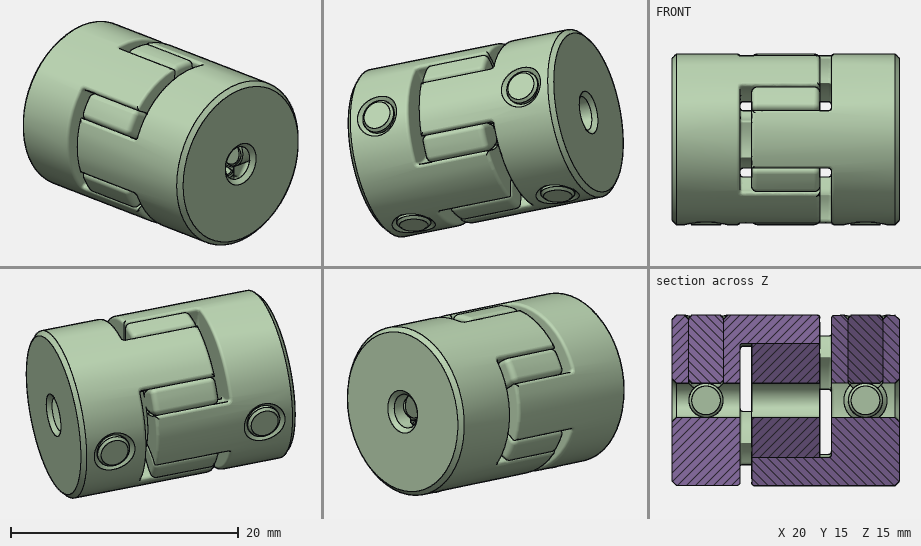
import cadquery as cq
import math


coupling_length = 20.0
coupling_radius = 7.5
hub_body_length = 6.0
jaw_length = 7.0
jaw_count = 3
jaw_pitch = 360.0 / jaw_count
jaw_inner_radius = 5.0
rim_chamfer = 0.4
bore_radius = 1.5
bore_chamfer = 0.4
jaw_outer_fillet = 0.28
jaw_root_fillet = 0.25
jaw_corner_fillet = 0.2
jaw_corner_easing = 0.02

leg_count = 2 * jaw_count
leg_pitch = 360.0 / leg_count
leg_width = 2.5
leg_half_width = leg_width / 2
leg_side_radius = 4.0
leg_widest_reach = 6.4
leg_inner_reach = 4.7
leg_fillet = 0.5

screw_radius = 1.5
screw_chamfer = 0.25
screw_hole_chamfer = 0.4
screw_angles = (0.0, -90.0)

half_length = coupling_length / 2
hub_face = half_length - hub_body_length
jaw_tip = jaw_length - hub_face
screw_position = half_length - hub_body_length / 2
cut_reach = 1.2 * coupling_radius
tolerance = 0.002


def disc(radius, x_start, x_end):
    """Solid cylinder on the X axis."""
    return cq.Workplane("YZ").workplane(offset=x_start).circle(radius).extrude(x_end - x_start)


def turned(body, angle):
    """Copy of a body turned about the X axis."""
    return body.rotate((0, 0, 0), (1, 0, 0), angle)


def distance_from_axis(point):
    return math.hypot(point.y, point.z)


def edges_where(body, test):
    """Select the edges of a body that pass a test."""
    return body.newObject([edge for edge in body.edges().vals() if test(edge)])


def leg_bar(x_start, x_end):
    """Bar along +Y with barrel-shaped sides, running out past the outer surface."""

    def half_width(reach):
        side_drop = leg_side_radius - math.sqrt(leg_side_radius**2 - (reach - leg_widest_reach) ** 2)
        return leg_half_width - side_drop

    inner_width = half_width(leg_inner_reach)
    outer_width = half_width(cut_reach)
    return (
        cq.Workplane("YZ")
        .workplane(offset=x_start)
        .moveTo(leg_inner_reach, -inner_width)
        .threePointArc((leg_widest_reach, -leg_half_width), (cut_reach, -outer_width))
        .lineTo(cut_reach, outer_width)
        .threePointArc((leg_widest_reach, leg_half_width), (leg_inner_reach, inner_width))
        .close()
        .extrude(x_end - x_start)
    )


def jaw_window(x_start, x_end):
    """Cutter for the gap centred on +Y between two jaws: a wedge with a leg seat along each side."""
    half_height = cut_reach * math.tan(math.radians(leg_pitch / 2))
    wedge = (
        cq.Workplane("YZ")
        .workplane(offset=x_start)
        .polyline([(0, 0), (cut_reach, -half_height), (cut_reach, half_height)])
        .close()
        .extrude(x_end - x_start)
    )
    seat = leg_bar(x_start, x_end)
    return wedge.union(turned(seat, leg_pitch / 2)).union(turned(seat, -leg_pitch / 2))


def is_jaw_corner(edge):
    """Straight corner between the inner wall and a side of a jaw."""
    on_inner_wall = abs(distance_from_axis(edge.Center()) - jaw_inner_radius) < tolerance
    return on_inner_wall and edge.geomType() == "LINE"


def is_upper_corner_of_first_jaw(edge):
    centre = edge.Center()
    return is_jaw_corner(edge) and centre.y > abs(centre.z) and centre.z > 0


def is_plain_jaw_corner(edge):
    return is_jaw_corner(edge) and not is_upper_corner_of_first_jaw(edge)


def is_on_outer_surface(edge):
    return all(
        abs(distance_from_axis(edge.positionAt(t)) - coupling_radius) < tolerance for t in (0, 0.3, 0.7, 1)
    )


def is_jaw_root(edge):
    """Edge where a jaw rises from the flat face of the hub body."""
    box = edge.BoundingBox()
    on_face = abs(box.xmin + hub_face) < tolerance and abs(box.xmax + hub_face) < tolerance
    return on_face and not is_on_outer_surface(edge)


def is_jaw_outline(edge):
    """Edge where the windows and jaw tips break the outer surface; the cylinder seam is left out."""
    is_seam = edge.geomType() == "LINE" and abs(edge.Center().z) < tolerance
    clear_of_rim = edge.Center().x > -half_length + 2 * rim_chamfer
    return is_on_outer_surface(edge) and clear_of_rim and not is_seam


def jawed_blank(round_first_corner):
    """Left hub without holes; its first jaw points along +Y."""
    blank = disc(coupling_radius, -half_length, jaw_tip).faces("<X").chamfer(rim_chamfer)
    blank = blank.cut(disc(jaw_inner_radius, -hub_face, jaw_tip))
    for number in range(jaw_count):
        blank = blank.cut(turned(jaw_window(-hub_face, jaw_tip), (number + 0.5) * jaw_pitch))
    first_corner_fillet = jaw_corner_fillet if round_first_corner else jaw_corner_easing
    blank = edges_where(blank, is_upper_corner_of_first_jaw).fillet(first_corner_fillet)
    blank = edges_where(blank, is_plain_jaw_corner).fillet(jaw_corner_easing)
    blank = edges_where(blank, is_jaw_root).fillet(jaw_root_fillet)
    return edges_where(blank, is_jaw_outline).fillet(jaw_outer_fillet)


def cut_bore(hub):
    """Bore through the hub body, chamfered at the outer end."""
    bore = disc(bore_radius, -half_length, 0)
    mouth = cq.Workplane(
        cq.Solid.makeCone(
            bore_radius + bore_chamfer, bore_radius, bore_chamfer, cq.Vector(-half_length, 0, 0), cq.Vector(1, 0, 0)
        )
    )
    return hub.cut(bore).cut(mouth)


def cut_screw_holes(hub, x):
    """Radial holes from the bore to the outer surface, chamfered at the outside."""
    hole = cq.Workplane("XZ").center(x, 0).circle(screw_radius).extrude(-cut_reach)
    for angle in screw_angles:
        hub = hub.cut(turned(hole, angle))

    def is_hole_mouth(edge):
        box = edge.BoundingBox()
        return is_on_outer_surface(edge) and abs(box.center.x - x) < screw_radius and box.xlen < 3 * screw_radius

    return edges_where(hub, is_hole_mouth).chamfer(screw_hole_chamfer)


def make_left_hub():
    return cut_screw_holes(cut_bore(jawed_blank(True)), -screw_position)


def make_right_hub():
    hub = cut_bore(jawed_blank(False)).rotate((0, 0, 0), (0, 0, 1), 180)
    return cut_screw_holes(hub, screw_position)


def make_spider():
    """Disc inside the jaws with a rounded leg between each pair of neighbouring jaws."""
    leg = leg_bar(-jaw_tip, jaw_tip).intersect(disc(coupling_radius, -jaw_tip, jaw_tip))
    leg = edges_where(leg, lambda edge: edge.BoundingBox().ymax > leg_inner_reach + tolerance).fillet(leg_fillet)
    spider = disc(jaw_inner_radius, -jaw_tip, jaw_tip)
    for number in range(leg_count):
        spider = spider.union(turned(leg, (number + 0.5) * leg_pitch))
    return spider.cut(disc(bore_radius, -jaw_tip, jaw_tip))


def make_set_screw(x, angle):
    """Plain screw with chamfered ends, from the bore to flush with the outer surface."""
    screw = (
        cq.Workplane("XZ")
        .workplane(offset=-bore_radius)
        .center(x, 0)
        .circle(screw_radius)
        .extrude(bore_radius - coupling_radius)
        .edges()
        .chamfer(screw_chamfer)
    )
    return turned(screw, angle)


left_hub = make_left_hub()
right_hub = make_right_hub()
spider = make_spider()
set_screws = [
    make_set_screw(x, angle).val() for x in (-screw_position, screw_position) for angle in screw_angles
]

result = cq.Compound.makeCompound([left_hub.val(), right_hub.val(), spider.val(), *set_screws])